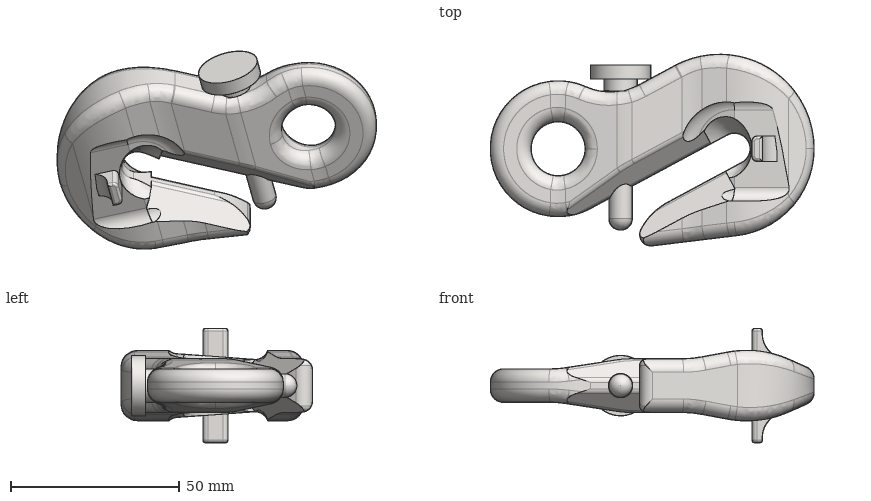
import cadquery as cq
import math


EYE_R = 20.21
EYE_HOLE_R = 8.0
EDGE_R = 4.0
EYE_EDGE_R = 4.3

SLOT_R = 4.6
SLOT_X = 52.4
SLOPE = math.asin((EYE_R + SLOT_R) / SLOT_X)
ALONG = (math.cos(SLOPE), math.sin(SLOPE))
ACROSS = (-math.sin(SLOPE), math.cos(SLOPE))
SLOT_LENGTH = 80.0
LAND_Z = 1.8
LAND_EDGE_R = 2.0
BEVEL = 9.4
BEVEL_STOP = 5.5
RIDGE_R = 2.0
RIDGE_END_X = 42.0
RIDGE_TOLERANCE = 0.3
FUNNEL_R = 11.3
FUNNEL_X = SLOT_X - 6.0
FUNNEL_Z = 10.5
FUNNEL_FOOT_R = 3.6
FUNNEL_FOOT_X = 53.2
FUNNEL_FOOT_Z = 0.8

BACK_R = 28.1
BELLY_R = 26.0
HOOK_END_X = 76.1
BACK_X = HOOK_END_X - BACK_R
BELLY_X = HOOK_END_X - BELLY_R
NECK_R = 18.0
TIP_R = 3.4
TIP_X = 27.6
TIP_Y = TIP_R - 28.9
NOSE_START_X = 32.6
TIP_EDGE_R = 2.0
FILLER_X = 14.0

EYE_Z = 5.0
SHANK_Z = 8.0
HOOK_Z = 10.5
RAMP_START_X = 0.0
RAMP_END_X = 19.7
RAMP_BLEND = 2.2
RISE_START_X = 36.8
RISE_ANGLE = math.radians(11)
RISE_R = 31.0
CROWN_X = 56.0
CROWN_R = 31.0
CROWN_END_X = 68.5

POCKET_R = 15.5
POCKET_EDGE_R = 3.9
FLOOR_Z = 8.65
FLOOR_TILT = 4.2
LEAD_TILT = 17.0
POCKET_LENGTH = 40.0
POCKET_HEIGHT = 14.0
POCKET_OVERLAP = 1.5

STUD_X = 57.6
STUD_T = 3.1
STUD_W = 7.5
STUD_TOP = 17.0
STUD_ROOT = 5.0
STUD_EDGE_R = 0.8
STUD_CORNER_R = 1.5
FLARE_R = 7.5
FLARE_TOP = 15.4
FLARE_RUN = 4.4

PIN_X = 18.55
PIN_D = 7.0
PIN_HOLE_D = 7.2
PIN_NOSE_R = PIN_D / 2 - 0.01
COLLAR_D = 10.0
HEAD_D = 18.0
PIN_END_Y = -24.2
COLLAR_Y = 17.2
HEAD_Y = 20.7
HEAD_TOP_Y = 24.9

MARGIN = 40.0


def both_sides(body):
    return body, body.mirror("XY")


def joined(upper):
    return upper.union(upper.mirror("XY"), clean=True)


def offset(point, direction, distance):
    return (point[0] + direction[0] * distance, point[1] + direction[1] * distance)


def polar(centre, radius, angle):
    return offset(centre, (math.cos(angle), math.sin(angle)), radius)


EYE = (0, 0)
SLOT_END = (SLOT_X, 0)
BACK = (BACK_X, 0)
BELLY = (BELLY_X, 0)
TIP = (TIP_X, TIP_Y)

tip_distance = math.dist(BELLY, TIP)
UNDER_ANGLE = (
    math.atan2(TIP_Y, TIP_X - BELLY_X) + math.acos((BELLY_R - TIP_R) / tip_distance)
) % math.tau
UNDER_SLOPE = math.tan(UNDER_ANGLE + math.pi / 2)


def slot_point(along, across):
    return offset(offset(SLOT_END, ALONG, along), ACROSS, across)


def blank():
    """Body with its outer edges and eye hole rounded, and the slot still filled."""
    shank_offset = BACK_R - BACK_X * math.sin(SLOPE)
    neck_across = shank_offset + NECK_R
    neck_along = math.sqrt((EYE_R + NECK_R) ** 2 - neck_across**2)
    neck = offset(offset(EYE, ALONG, neck_along), ACROSS, neck_across)
    neck_angle = math.atan2(neck[1], neck[0])
    shank_angle = SLOPE + math.pi / 2
    under = polar(BELLY, BELLY_R, UNDER_ANGLE)
    filler = (FILLER_X, under[1] + (FILLER_X - under[0]) * UNDER_SLOPE)
    neck_mid_angle = (neck_angle + math.pi + shank_angle + math.pi) / 2
    outline = (
        cq.Workplane("XY")
        .moveTo(*offset(EYE, ACROSS, -EYE_R))
        .threePointArc((-EYE_R, 0), polar(EYE, EYE_R, neck_angle))
        .threePointArc(polar(neck, NECK_R, neck_mid_angle), offset(neck, ACROSS, -NECK_R))
        .lineTo(*offset(BACK, ACROSS, BACK_R))
        .threePointArc(polar(BACK, BACK_R, shank_angle / 2), (HOOK_END_X, 0))
        .threePointArc(polar(BELLY, BELLY_R, (UNDER_ANGLE + math.tau) / 2), under)
        .lineTo(*filler)
        .close()
        .extrude(MARGIN, both=True)
    )
    solid = outline.intersect(joined(thickness()))
    solid = solid.edges("not(|Z)").fillet(EDGE_R)
    eye_hole = cq.Workplane("XY").circle(EYE_HOLE_R).extrude(MARGIN, both=True)
    hole_wall = cq.selectors.NearestToPointSelector((0, 0, 0))
    return solid.cut(eye_hole).faces(hole_wall).edges("not(|Z)").fillet(EYE_EDGE_R)


def thickness():
    """Region between the middle plane and the thickness curve, spanning all Y."""
    ramp = math.atan2(SHANK_Z - EYE_Z, RAMP_END_X - RAMP_START_X)
    ramp_dir = (math.cos(ramp), math.sin(ramp))
    rise_end = (
        RISE_START_X + RISE_R * math.sin(RISE_ANGLE),
        SHANK_Z + RISE_R * (1 - math.cos(RISE_ANGLE)),
    )

    def crown(angle):
        return polar((CROWN_X, HOOK_Z - CROWN_R), CROWN_R, angle)

    crown_start = crown(math.pi / 2 + RISE_ANGLE)
    fall = math.asin((CROWN_END_X - CROWN_X) / CROWN_R)
    crown_end = crown(math.pi / 2 - fall)
    run_out = MARGIN / 4
    end = (crown_end[0] + run_out, crown_end[1] - run_out * math.tan(fall))
    foot = (RAMP_START_X, EYE_Z)
    head = (RAMP_END_X, SHANK_Z)
    return (
        cq.Workplane("XZ", origin=(0, MARGIN, 0))
        .moveTo(-MARGIN, 0)
        .lineTo(-MARGIN, EYE_Z)
        .lineTo(RAMP_START_X - RAMP_BLEND, EYE_Z)
        .tangentArcPoint(offset(foot, ramp_dir, RAMP_BLEND), relative=False)
        .lineTo(*offset(head, ramp_dir, -RAMP_BLEND))
        .tangentArcPoint((RAMP_END_X + RAMP_BLEND, SHANK_Z), relative=False)
        .lineTo(RISE_START_X, SHANK_Z)
        .tangentArcPoint(rise_end, relative=False)
        .lineTo(*crown_start)
        .threePointArc((CROWN_X, HOOK_Z), crown_end)
        .lineTo(*end)
        .lineTo(end[0], 0)
        .close()
        .extrude(2 * MARGIN)
    )


def slot_and_tip_cutter():
    """Upright walls of the slot and the rounded nose of the hook arm."""
    slot = (
        cq.Workplane("XY")
        .moveTo(*slot_point(-SLOT_LENGTH, SLOT_R))
        .lineTo(*slot_point(0, SLOT_R))
        .threePointArc(slot_point(SLOT_R, 0), slot_point(0, -SLOT_R))
        .lineTo(*slot_point(-SLOT_LENGTH, -SLOT_R))
        .close()
        .extrude(MARGIN, both=True)
    )
    nose_along = (NOSE_START_X - slot_point(0, -SLOT_R)[0]) / ALONG[0]
    nose_start = slot_point(nose_along, -SLOT_R)
    to_nose = (nose_start[0] - TIP_X, nose_start[1] - TIP_Y)
    height = to_nose[0] * ACROSS[0] + to_nose[1] * ACROSS[1]
    nose_r = (math.hypot(*to_nose) ** 2 - TIP_R**2) / (2 * (height - TIP_R))
    nose = offset(nose_start, ACROSS, -nose_r)
    nose_angle = math.atan2(TIP_Y - nose[1], TIP_X - nose[0]) % math.tau
    nose_mid_angle = (nose_angle + SLOPE + math.pi / 2) / 2
    tip_mid_angle = (nose_angle + UNDER_ANGLE) / 2
    under_tip = polar(TIP, TIP_R, UNDER_ANGLE)
    under_end = (NOSE_START_X, under_tip[1] + (NOSE_START_X - under_tip[0]) * UNDER_SLOPE)
    rounded_tip = (
        cq.Workplane("XY")
        .moveTo(*nose_start)
        .threePointArc(polar(nose, nose_r, nose_mid_angle), polar(TIP, TIP_R, nose_angle))
        .threePointArc(polar(TIP, TIP_R, tip_mid_angle), under_tip)
        .lineTo(*under_end)
        .close()
        .extrude(SHANK_Z, both=True)
        .faces("|Z")
        .edges("not(>X)")
        .fillet(TIP_EDGE_R)
    )
    surroundings = (
        cq.Workplane("XY")
        .moveTo(*nose_start)
        .lineTo(NOSE_START_X, -MARGIN)
        .lineTo(*slot_point(-SLOT_LENGTH, -MARGIN))
        .lineTo(*slot_point(-SLOT_LENGTH, -SLOT_R))
        .close()
        .extrude(MARGIN, both=True)
    )
    return slot, surroundings.cut(rounded_tip)


def slot_bevel():
    """Bevel along both upper slot edges, starting with a small rounding."""
    low, high = SLOT_R, SLOT_R + BEVEL
    start = slot_point(-BEVEL_STOP, 0)
    section = cq.Plane(
        origin=(start[0], start[1], LAND_Z),
        xDir=(ACROSS[0], ACROSS[1], 0),
        normal=(-ALONG[0], -ALONG[1], 0),
    )
    sign = section.yDir.z
    setback = LAND_EDGE_R * math.tan(math.pi / 8)
    step = setback / math.sqrt(2)
    arc_mid = (
        low + LAND_EDGE_R * (1 - math.cos(math.pi / 8)),
        sign * (LAND_EDGE_R * math.sin(math.pi / 8) - setback),
    )
    return (
        cq.Workplane(section)
        .moveTo(low, -sign * setback)
        .threePointArc(arc_mid, (low + step, sign * step))
        .lineTo(high, sign * BEVEL)
        .lineTo(-high, sign * BEVEL)
        .lineTo(-low - step, sign * step)
        .threePointArc((-arc_mid[0], arc_mid[1]), (-low, -sign * setback))
        .close()
        .extrude(SLOT_LENGTH)
    )


def slot_funnel():
    """Slanted cone that opens the closed end of the slot."""
    return (
        cq.Workplane(cq.Plane((FUNNEL_FOOT_X, 0, FUNNEL_FOOT_Z), (-1, 0, 0), (0, 0, 1)))
        .circle(FUNNEL_FOOT_R)
        .workplane(offset=FUNNEL_Z - FUNNEL_FOOT_Z)
        .center(FUNNEL_FOOT_X - FUNNEL_X, 0)
        .circle(FUNNEL_R)
        .loft()
    )


def pocket():
    """Seat for the chain link: flat floor, with a round end sinking toward the eye."""
    flat = (
        cq.Workplane("XY")
        .box(POCKET_LENGTH, 2 * POCKET_R, POCKET_HEIGHT, centered=(False, True, False))
        .edges("|X and <Z")
        .fillet(POCKET_EDGE_R)
        .translate((-POCKET_OVERLAP, 0, 0))
    )
    round_end = (
        cq.Workplane("XY")
        .circle(POCKET_R)
        .extrude(POCKET_HEIGHT)
        .faces("<Z")
        .edges()
        .fillet(POCKET_EDGE_R)
    )
    left_half = (
        cq.Workplane("XY")
        .box(MARGIN, 2 * MARGIN, 2 * MARGIN, centered=(False, True, True))
        .translate((-MARGIN, 0, 0))
    )
    round_end = round_end.intersect(left_half).rotate((0, 0, 0), (0, 1, 0), -LEAD_TILT)
    return [
        part.rotate((0, 0, 0), (1, 0, 0), FLOOR_TILT).translate((SLOT_X, 0, FLOOR_Z))
        for part in (flat, round_end)
    ]


def flare_drop():
    return math.sqrt(FLARE_R**2 - (FLARE_R - FLARE_RUN) ** 2)


def stud():
    """Upright stud behind the slot end, flared at its back."""
    back_x = STUD_X + STUD_T
    blade = (
        cq.Workplane("XZ", origin=(0, STUD_W / 2, 0))
        .moveTo(STUD_X, STUD_ROOT)
        .lineTo(STUD_X, STUD_TOP)
        .lineTo(back_x, STUD_TOP)
        .lineTo(back_x, FLARE_TOP)
        .tangentArcPoint((back_x + FLARE_RUN, FLARE_TOP - flare_drop()), relative=False)
        .lineTo(back_x + FLARE_RUN, STUD_ROOT)
        .close()
        .extrude(STUD_W)
    )
    blade = blade.edges("|Z and <X").fillet(STUD_CORNER_R)
    return blade.edges(">Z").fillet(STUD_EDGE_R)


def bevelled_envelope():
    """Thickness envelope with the slot bevel, its ridge on the shank side rounded."""
    envelope = thickness().cut(slot_bevel())

    def on_ridge(edge):
        centre = edge.Center()
        across = (centre.x - SLOT_X) * ACROSS[0] + centre.y * ACROSS[1]
        off_bevel = across - SLOT_R - (centre.z - LAND_Z)
        return (
            centre.x < RIDGE_END_X
            and centre.z > EYE_Z / 2
            and abs(off_bevel) < RIDGE_TOLERANCE
        )

    ridge = [edge for edge in envelope.edges().vals() if on_ridge(edge)]
    return joined(envelope.newObject(ridge).fillet(RIDGE_R))


def pin_section(diameter, start_y, end_y):
    return (
        cq.Workplane("XZ", origin=(PIN_X, end_y, 0)).circle(diameter / 2).extrude(end_y - start_y)
    )


def build_hook():
    """Hook body with its eye, slot, link pockets, studs and pin hole."""
    hook = blank()
    for cutter in slot_and_tip_cutter():
        hook = hook.cut(cutter)
    hook = hook.intersect(bevelled_envelope())
    for cutter in (slot_funnel(), *pocket()):
        for side_cutter in both_sides(cutter):
            hook = hook.cut(side_cutter)
    for side_stud in both_sides(stud()):
        hook = hook.union(side_stud)
    hook = hook.cut(pin_section(PIN_HOLE_D, PIN_END_Y - MARGIN, COLLAR_Y))
    hook = hook.cut(pin_section(COLLAR_D, COLLAR_Y, HEAD_Y))
    return hook.cut(pin_section(HEAD_D, HEAD_Y, HEAD_TOP_Y))


def build_pin():
    """Round-nosed pin with a collar and a thumb disc."""
    shaft = pin_section(PIN_D, PIN_END_Y, COLLAR_Y).faces("<Y").edges().fillet(PIN_NOSE_R)
    collar = pin_section(COLLAR_D, COLLAR_Y, HEAD_Y)
    head = pin_section(HEAD_D, HEAD_Y, HEAD_TOP_Y)
    return shaft.union(collar).union(head)


hook = build_hook()
pin = build_pin()
result = cq.Compound.makeCompound([hook.solids().val(), pin.solids().val()])